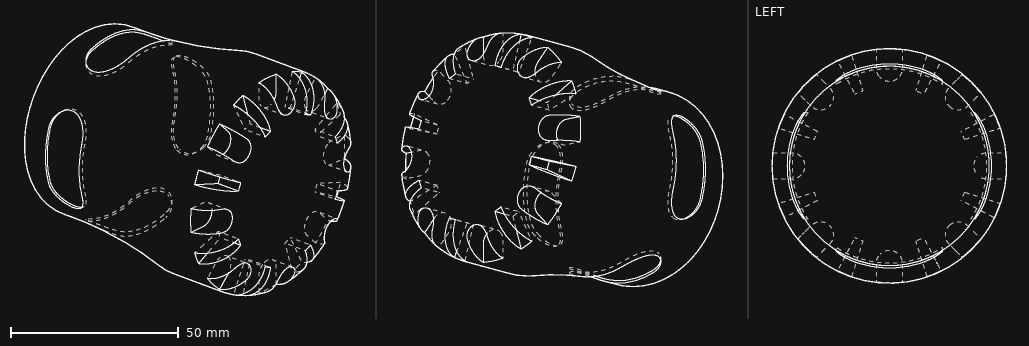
import cadquery as cq
import math

length = 89.7
body_radius = 70.0 / 2
collar_radius = 59.5 / 2
dome_edge_x = 9.15
dome_edge_radius = 27.2
collar_start_x = 14.5
collar_end_x = 18.8
flare_end_x = 58.8
body_start_x = 60.5
flare_end_radius = 34.7
rear_round = 10.05

recess_start_x = 19.7
recess_width = 13.9
recess_length = 31.7
recess_floor_radius = 29.0
recess_count = 4

notch_start_x = 81.65
notch_depth = length - notch_start_x
notch_pairs = 8
wide_notch_width = 7.8
wide_notch_center_radius = 29.1
narrow_notch_rim_width = 4.6
narrow_notch_floor_width = 2.6
narrow_notch_floor_radius = 23.7

clearance = 4.5
outer_radius = body_radius + clearance


def make_body():
    """Revolve the domed, flared and rounded outline."""
    dome_radius = (dome_edge_radius**2 + dome_edge_x**2) / (2 * dome_edge_x)
    half_angle = math.asin(dome_edge_radius / dome_radius) / 2
    dome_mid = (
        dome_radius * (1 - math.cos(half_angle)),
        dome_radius * math.sin(half_angle),
    )
    rear_mid = (
        length - rear_round * (1 - math.sqrt(0.5)),
        body_radius - rear_round * (1 - math.sqrt(0.5)),
    )
    round_run = collar_start_x - dome_edge_x
    round_rise = collar_radius - dome_edge_radius
    round_radius = (round_run**2 + round_rise**2) / (2 * round_rise)
    round_half_angle = math.asin(round_run / round_radius) / 2
    round_mid = (
        collar_start_x - round_radius * math.sin(round_half_angle),
        collar_radius - round_radius * (1 - math.cos(round_half_angle)),
    )
    outline = (
        cq.Workplane("XY")
        .moveTo(0, 0)
        .threePointArc(dome_mid, (dome_edge_x, dome_edge_radius))
        .threePointArc(round_mid, (collar_start_x, collar_radius))
        .lineTo(collar_end_x, collar_radius)
        .tangentArcPoint((flare_end_x, flare_end_radius), relative=False)
        .tangentArcPoint((body_start_x, body_radius), relative=False)
        .lineTo(length - rear_round, body_radius)
        .threePointArc(rear_mid, (length, body_radius - rear_round))
        .lineTo(length, 0)
        .close()
    )
    return outline.revolve(360, (0, 0, 0), (1, 0, 0))


def make_recess():
    """Rounded slot cutter on the +Z side, with a floor concentric with the body."""
    center_x = recess_start_x + recess_width / 2
    slot = (
        cq.Workplane("XY")
        .center(center_x, 0)
        .slot2D(recess_length, recess_width, 90)
        .extrude(outer_radius)
    )
    floor = cq.Workplane("YZ").circle(recess_floor_radius).extrude(length)
    return slot.cut(floor)


def make_wide_notch():
    """U-shaped notch cutter on the +Z side."""
    bottom = (
        cq.Workplane("YZ", origin=(notch_start_x, 0, 0))
        .center(0, wide_notch_center_radius)
        .circle(wide_notch_width / 2)
        .extrude(notch_depth)
    )
    opening_height = outer_radius - wide_notch_center_radius
    opening = (
        cq.Workplane("YZ", origin=(notch_start_x, 0, 0))
        .center(0, wide_notch_center_radius + opening_height / 2)
        .rect(wide_notch_width, opening_height)
        .extrude(notch_depth)
    )
    return bottom.union(opening)


def make_narrow_notch():
    """Flat-bottomed notch cutter on the +Z side, widening outwards."""
    floor_half = narrow_notch_floor_width / 2
    rim_half = narrow_notch_rim_width / 2
    slope = (rim_half - floor_half) / (body_radius - narrow_notch_floor_radius)
    outer_half = rim_half + slope * clearance
    return (
        cq.Workplane("YZ", origin=(notch_start_x, 0, 0))
        .moveTo(-floor_half, narrow_notch_floor_radius)
        .lineTo(floor_half, narrow_notch_floor_radius)
        .lineTo(outer_half, outer_radius)
        .lineTo(-outer_half, outer_radius)
        .close()
        .extrude(notch_depth)
    )


def cut_around(body, cutter, count, first_angle=0.0):
    """Cut equally spaced copies of a cutter around the X axis."""
    for index in range(count):
        angle = first_angle + index * 360 / count
        body = body.cut(cutter.rotate((0, 0, 0), (1, 0, 0), angle))
    return body


result = make_body()
result = cut_around(result, make_recess(), recess_count)
result = cut_around(result, make_wide_notch(), notch_pairs)
result = cut_around(result, make_narrow_notch(), notch_pairs, 180 / notch_pairs)